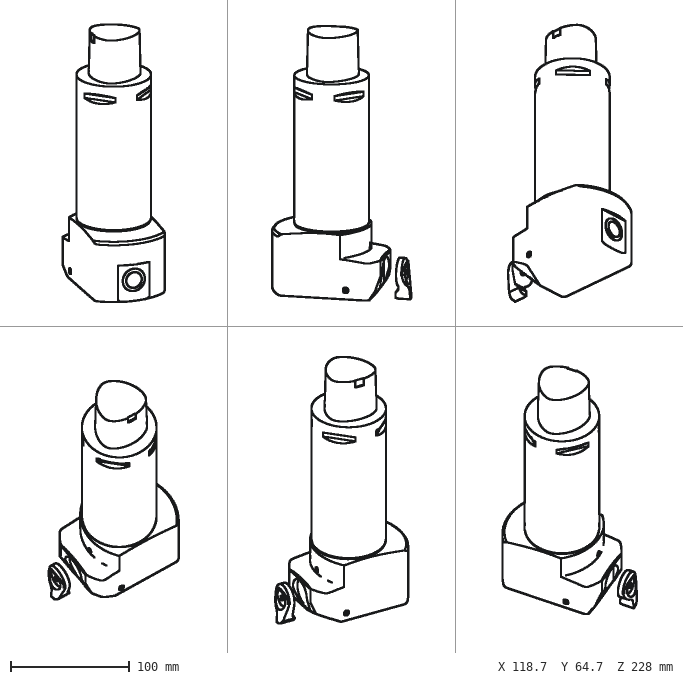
import cadquery as cq
import math

SHANK_RADIUS = 31.5
SHANK_BOTTOM = 58.5
SHOULDER_Z = 186.3
TOP_Z = 224.1
OVERALL_LENGTH = 228.0
NECK_RADIUS = 30.8
NECK_CHAMFER_HEIGHT = 1.5

TAPER_RADIUS = 22.0
TAPER_LOBE = 1.5
TAPER_SLOPE = 1 / 45
LOBE_HALF_ANGLE = 37
LOBE_COUNT = 3
LOBE_PITCH = 360 / LOBE_COUNT
SPLINE_STEPS = 8

KEY_SLOT_WIDTH = 8.0
KEY_SLOT_HEIGHT = 6.4
KEY_SLOT_DEPTH = 1.0

GRIP_Z = 174.2
GRIP_FLOOR_DISTANCE = 28.0
GRIP_FLOOR_HEIGHT = 3.9
GRIP_MOUTH_HEIGHT = 8.0
GRIP_COUNT = 4

HEAD_RADIUS = 50.2
HEAD_HALF_WIDTH = 32.1
HEAD_CORNER_RADIUS = 6.0
HEAD_BOTTOM_RADIUS = 3.0
HEAD_CONE_SLOPE = math.tan(math.radians(10))
HEAD_TOP_Z = 57.0
HEAD_RIM_WIDTH = 1.8
HEAD_RIM_HEIGHT = 2.5
LEDGE_Z = 36.0

COLLAR_RADIUS = 44.2
COLLAR_X = 11.6
COLLAR_Y = -3.2
COLLAR_FOOT_RADIUS = 0.7

FRONT_FLAT_X = -46.7
FRONT_FLAT_BOTTOM_Z = 19.4
FRONT_CHAMFER = 1.0
FRONT_BREAK_X = -43.3
FRONT_BREAK_Z = 7.0
FRONT_FOOT_X = -39.0
CORNER_CUT_POINT = (-23.3, -HEAD_HALF_WIDTH, 0.5)
CORNER_CUT_NORMAL = (-0.49, -0.24, -0.84)

BACK_FLAT_X = 48.0
BACK_FLAT_TOP_Z = 33.3
BACK_BOSS_DIAMETERS = (19.8, 14.0)
BACK_BOSS_STEP = 0.5

INSERT_AXIS_Z = 19.2
INSERT_RADIUS = 24.0 / 2
INSERT_BACK_X = -58.4
INSERT_TIP_X = -68.5
INSERT_TIP_Z = TOP_Z - OVERALL_LENGTH
INSERT_FACE_TILT = 5
INSERT_FACE_RADIUS = 26.2
INSERT_RIM_X = -63.0
INSERT_RIM_TOP_X = -66.3
INSERT_RIM_TOP_RADIUS = 8.5
FOOT_X = -55.5
FOOT_START_Z = 5.2
FOOT_END_Z = 1.0
FOOT_BOTTOM_Z = -3.2
DISH_FLOOR_X = -64.3
DISH_DIAMETER = 14.0
INSERT_HOLE_DIAMETER = 4.0

FLANK_TOP = (-11.6, 16.5)
FLANK_MIDDLE = (-9.3, 7.5)
FLANK_BOTTOM = (-7.3, 1.0)
CORNER_BOTTOM = (-4.5, -2.3)
CORNER_ROUND = (-3.5, -3.0)
TIP_EDGE_START = (-1.8, -3.2)
BLADE_LEFT_Y = 1.8
THROAT_BOTTOM_Z = 3.5
THROAT_MIDDLE = (3.2, 6.5)
THROAT_TOP = (6.4, 9.1)
THROAT_END = (9.1, 11.5)

POCKET_FLOOR_X = -42.5
POCKET_CLEARANCE = 0.2

NOZZLE_DIAMETER = 4.0
NOZZLE_BORE = 2.7
NOZZLE_LENGTH = 6.8
NOZZLE_Y = -3.6
NOZZLE_Z = 40.0

PIN_X = -19.5
PIN_Z = 8.7
PIN_DIAMETER = 4.8
PIN_TIP_DIAMETER = 2.7
PIN_TIP_END_DIAMETER = 1.5
PIN_TIP_LENGTH = 0.5
PIN_DISH_DEPTH = 1.0
PIN_SOCKET_DEPTH = 2.7

FAR = 136.8
OVERSHOOT = 2.3


def rod_x(diameter, x0, x1, y, z):
    return cq.Workplane("YZ", origin=(x0, y, z)).circle(diameter / 2).extrude(x1 - x0)


def block(x0, x1, y0, y1, z0, z1):
    return cq.Workplane("XY").box(x1 - x0, y1 - y0, z1 - z0, centered=False).translate((x0, y0, z0))


def turned(points):
    """Solid of revolution about Z from (radius, z) points."""
    return cq.Workplane("XZ").polyline(points).close().revolve(360, (0, 0), (0, 1))


def lobed_wire(radius, z):
    """Three-lobed constant-width outline, split where the lobe and side faces meet."""
    def point(angle):
        t = math.radians(angle)
        height = radius + TAPER_LOBE * math.cos(LOBE_COUNT * t)
        slide = LOBE_COUNT * TAPER_LOBE * math.sin(LOBE_COUNT * t)
        along = height * math.cos(t) + slide * math.sin(t)
        across = height * math.sin(t) - slide * math.cos(t)
        return cq.Vector(-across, along, z)

    def tangent(angle):
        t = math.radians(angle)
        return cq.Vector(-math.cos(t), -math.sin(t), 0)

    edges = []
    for lobe in range(LOBE_COUNT):
        start = lobe * LOBE_PITCH - LOBE_HALF_ANGLE
        middle = lobe * LOBE_PITCH + LOBE_HALF_ANGLE
        for a, b in ((start, middle), (middle, start + LOBE_PITCH)):
            angles = [a + (b - a) * i / SPLINE_STEPS for i in range(SPLINE_STEPS + 1)]
            edges.append(cq.Edge.makeSpline([point(i) for i in angles], [tangent(a), tangent(b)]))
    return cq.Wire.assembleEdges(edges)


def make_taper():
    top_radius = TAPER_RADIUS - (TOP_Z - SHOULDER_Z) * TAPER_SLOPE
    wires = [lobed_wire(TAPER_RADIUS, SHOULDER_Z), lobed_wire(top_radius, TOP_Z)]
    taper = cq.Workplane(cq.Solid.makeLoft(wires, True))
    slot_floor_y = -(top_radius - TAPER_LOBE) + KEY_SLOT_DEPTH
    half = KEY_SLOT_WIDTH / 2
    return taper.cut(block(-half, half, -FAR, slot_floor_y, TOP_Z - KEY_SLOT_HEIGHT, TOP_Z + OVERSHOOT))


def make_shank():
    """Round shank with a bevelled foot that reaches into the head."""
    return turned([
        (0, LEDGE_Z), (NECK_RADIUS, LEDGE_Z), (NECK_RADIUS, SHANK_BOTTOM - NECK_CHAMFER_HEIGHT),
        (SHANK_RADIUS, SHANK_BOTTOM), (SHANK_RADIUS, SHOULDER_Z), (0, SHOULDER_Z),
    ])


def cut_grip_grooves(body):
    """Trapezoidal gripper grooves, evenly spaced between the X and Y axes."""
    flare = (GRIP_MOUTH_HEIGHT - GRIP_FLOOR_HEIGHT) / 2 / (SHANK_RADIUS - GRIP_FLOOR_DISTANCE)
    outer = SHANK_RADIUS + OVERSHOOT
    floor_half = GRIP_FLOOR_HEIGHT / 2
    outer_half = floor_half + flare * (outer - GRIP_FLOOR_DISTANCE)
    groove = (
        cq.Workplane("XZ", origin=(0, 0, GRIP_Z))
        .polyline([
            (GRIP_FLOOR_DISTANCE, -floor_half), (outer, -outer_half),
            (outer, outer_half), (GRIP_FLOOR_DISTANCE, floor_half),
        ])
        .close()
        .extrude(SHANK_RADIUS, both=True)
    )
    pitch = 360 / GRIP_COUNT
    for i in range(GRIP_COUNT):
        body = body.cut(groove.rotate((0, 0, 0), (0, 0, 1), pitch * (i + 0.5)))
    return body


def cone_z(z_at_shank, radius):
    """Height of a head cone about the shank axis at the given radius."""
    return z_at_shank - HEAD_CONE_SLOPE * (radius - SHANK_RADIUS)


def make_head_block():
    """Round head with flat sides, rounded corners, coned top and bevelled rim."""
    disc = cq.Workplane("XY").circle(HEAD_RADIUS).extrude(SHANK_BOTTOM)
    sides = block(-FAR, FAR, -HEAD_HALF_WIDTH, HEAD_HALF_WIDTH, 0, SHANK_BOTTOM)
    head = disc.intersect(sides).edges("|Z and (>Y or <Y)").fillet(HEAD_CORNER_RADIUS)
    head = head.faces("<Z").edges().fillet(HEAD_BOTTOM_RADIUS)
    rim_radius = HEAD_RADIUS - HEAD_RIM_WIDTH
    rim_z = cone_z(HEAD_TOP_Z, rim_radius)
    beyond_rim = HEAD_RADIUS + HEAD_RIM_WIDTH
    return head.intersect(turned([
        (0, 0), (beyond_rim, 0), (beyond_rim, rim_z - 2 * HEAD_RIM_HEIGHT), (rim_radius, rim_z),
        (0, cone_z(HEAD_TOP_Z, 0)),
    ]))


def collar_cylinder():
    return cq.Workplane("XY").center(COLLAR_X, COLLAR_Y).circle(COLLAR_RADIUS).extrude(FAR)


def cut_ledge(head):
    """Remove the front part above the lower cone, leaving the round collar."""
    edge = HEAD_RADIUS + OVERSHOOT
    above = turned([(0, cone_z(LEDGE_Z, 0)), (edge, cone_z(LEDGE_Z, edge)), (edge, FAR), (0, FAR)])
    above = above.intersect(block(-FAR, 0, -FAR, FAR, 0, FAR))
    head = head.cut(above.cut(collar_cylinder()))
    foot_z = cone_z(LEDGE_Z, COLLAR_RADIUS - COLLAR_X)
    foot_edge = cq.selectors.NearestToPointSelector((COLLAR_X - COLLAR_RADIUS, COLLAR_Y, foot_z))
    return head.edges(foot_edge).fillet(COLLAR_FOOT_RADIUS)


def cut_front(head):
    """Front flat chamfered to the ledge, two sloping facets below it and the oblique corner cut."""
    chamfer_z = cone_z(LEDGE_Z, -FRONT_FLAT_X) - FRONT_CHAMFER
    chamfer_run = 2 * FRONT_CHAMFER
    facets = (
        cq.Workplane("XZ")
        .polyline([
            (-FAR, FAR), (FRONT_FLAT_X + chamfer_run, FAR),
            (FRONT_FLAT_X + chamfer_run, chamfer_z + chamfer_run), (FRONT_FLAT_X, chamfer_z),
            (FRONT_FLAT_X, FRONT_FLAT_BOTTOM_Z), (FRONT_BREAK_X, FRONT_BREAK_Z),
            (FRONT_FOOT_X, 0), (-FAR, 0),
        ])
        .close()
        .extrude(FAR, both=True)
    )
    corner = (
        cq.Workplane(cq.Plane(origin=CORNER_CUT_POINT, normal=CORNER_CUT_NORMAL))
        .rect(FAR, FAR)
        .extrude(FAR)
    )
    return head.cut(facets).cut(corner)


def finish_back(head):
    """Flat on the lower back with a low stepped boss in line with the insert."""
    head = head.cut(block(BACK_FLAT_X, FAR, -FAR, FAR, 0, BACK_FLAT_TOP_Z))
    for step, diameter in enumerate(BACK_BOSS_DIAMETERS, start=1):
        end_x = BACK_FLAT_X + step * BACK_BOSS_STEP
        head = head.union(rod_x(diameter, BACK_FLAT_X - OVERSHOOT, end_x, 0, INSERT_AXIS_Z))
    return head


def cut_insert_pocket(head):
    """Keyhole pocket for the insert, open through the front and the foot facet."""
    radius = INSERT_RADIUS + POCKET_CLEARANCE
    pocket = rod_x(2 * radius, -FAR, POCKET_FLOOR_X, 0, INSERT_AXIS_Z)
    channel = block(-FAR, POCKET_FLOOR_X, -radius, BLADE_LEFT_Y + POCKET_CLEARANCE, -FAR, INSERT_AXIS_Z)
    return head.cut(pocket).cut(channel)


def turned_x(points):
    """Solid of revolution about the insert axis from (x, radius) points."""
    turning = cq.Workplane("XY").polyline(points).close().revolve(360, (0, 0), (1, 0))
    return turning.translate((0, 0, INSERT_AXIS_Z))


def insert_blank():
    """Round head and narrow blade, longer along X than the finished insert."""
    start_x = INSERT_TIP_X - OVERSHOOT
    end_x = FOOT_X + OVERSHOOT
    disc = rod_x(2 * INSERT_RADIUS, start_x, end_x, 0, INSERT_AXIS_Z)
    blade = (
        cq.Workplane("YZ", origin=(start_x, 0, 0))
        .moveTo(*FLANK_TOP)
        .threePointArc(FLANK_MIDDLE, FLANK_BOTTOM)
        .lineTo(*CORNER_BOTTOM)
        .threePointArc(CORNER_ROUND, TIP_EDGE_START)
        .lineTo(BLADE_LEFT_Y, INSERT_TIP_Z)
        .lineTo(BLADE_LEFT_Y, THROAT_BOTTOM_Z)
        .threePointArc(THROAT_MIDDLE, THROAT_TOP)
        .lineTo(*THROAT_END)
        .lineTo(0, INSERT_AXIS_Z)
        .close()
        .extrude(end_x - start_x)
    )
    return disc.union(blade)


def insert_side_profile():
    """Everything in front of the back face, stepped out at the blade foot."""
    return (
        cq.Workplane("XZ")
        .polyline([
            (-FAR, FAR), (INSERT_BACK_X, FAR), (INSERT_BACK_X, FOOT_START_Z), (FOOT_X, FOOT_END_Z),
            (FOOT_X, FOOT_BOTTOM_Z), (INSERT_BACK_X, INSERT_TIP_Z), (-FAR, INSERT_TIP_Z),
        ])
        .close()
        .extrude(FAR, both=True)
    )


def insert_crown():
    """Large leaning cylinder whose front becomes the crowned face."""
    return (
        cq.Workplane("XY", origin=(INSERT_TIP_X + INSERT_FACE_RADIUS, 0, INSERT_TIP_Z))
        .circle(INSERT_FACE_RADIUS)
        .extrude(FAR, both=True)
        .rotate((INSERT_TIP_X, 0, INSERT_TIP_Z), (INSERT_TIP_X, 1, INSERT_TIP_Z), INSERT_FACE_TILT)
    )


def insert_rim_bevel():
    """Waste outside the conical bevel around the upper half of the face."""
    slope = (INSERT_RIM_X - INSERT_RIM_TOP_X) / (INSERT_RADIUS - INSERT_RIM_TOP_RADIUS)
    apex_x = INSERT_RIM_TOP_X - slope * INSERT_RIM_TOP_RADIUS
    reach = 2 * INSERT_RADIUS
    outside_cone = turned_x([
        (apex_x, 0), (apex_x + slope * reach, reach), (apex_x - reach, reach), (apex_x - reach, 0),
    ])
    return outside_cone.intersect(block(-FAR, FAR, -FAR, FAR, INSERT_AXIS_Z, FAR))


def insert_dish():
    """Flat-bottomed dish with a 45 degree wall."""
    dish_end = INSERT_TIP_X - OVERSHOOT
    dish_radius = DISH_DIAMETER / 2
    return turned_x([
        (DISH_FLOOR_X, 0), (DISH_FLOOR_X, dish_radius),
        (dish_end, dish_radius + DISH_FLOOR_X - dish_end), (dish_end, 0),
    ])


def make_insert():
    """Round-headed insert with a narrow blade hanging from it and a central hole."""
    insert = insert_blank().intersect(insert_side_profile()).intersect(insert_crown())
    insert = insert.cut(insert_rim_bevel()).cut(insert_dish())
    return insert.cut(rod_x(INSERT_HOLE_DIAMETER, -FAR, INSERT_BACK_X + OVERSHOOT, 0, INSERT_AXIS_Z))


def nozzle_envelope():
    """Plug set square to the collar, its outer end following the collar surface."""
    face_x = COLLAR_X - COLLAR_RADIUS
    plug = rod_x(NOZZLE_DIAMETER, face_x - OVERSHOOT, face_x + NOZZLE_LENGTH, NOZZLE_Y, NOZZLE_Z)
    return plug.intersect(collar_cylinder())


def make_nozzle():
    return nozzle_envelope().cut(rod_x(NOZZLE_BORE, -FAR, 0, NOZZLE_Y, NOZZLE_Z))


def pin_shaft(diameter, y0, y1):
    return cq.Workplane("XZ", origin=(PIN_X, y0, PIN_Z)).circle(diameter / 2).extrude(y0 - y1)


def make_pin():
    """Cross pin with a dished socket at the -Y end and a small conical tip beyond the +Y side."""
    near_y = -HEAD_HALF_WIDTH
    pin = pin_shaft(PIN_DIAMETER, near_y, HEAD_HALF_WIDTH)
    tip = cq.Solid.makeCone(
        PIN_TIP_DIAMETER / 2, PIN_TIP_END_DIAMETER / 2, PIN_TIP_LENGTH,
        cq.Vector(PIN_X, HEAD_HALF_WIDTH, PIN_Z), cq.Vector(0, 1, 0),
    )
    pin = pin.union(cq.Workplane(tip))
    dish = cq.Solid.makeCone(
        PIN_DIAMETER / 2, PIN_TIP_DIAMETER / 2, PIN_DISH_DEPTH,
        cq.Vector(PIN_X, near_y, PIN_Z), cq.Vector(0, 1, 0),
    )
    socket = pin_shaft(PIN_TIP_DIAMETER, near_y, near_y + PIN_SOCKET_DEPTH)
    return pin.cut(cq.Workplane(dish)).cut(socket)


def make_holder():
    head = cut_ledge(make_head_block())
    head = cut_insert_pocket(finish_back(cut_front(head)))
    holder = head.union(cut_grip_grooves(make_shank())).union(make_taper())
    holder = holder.cut(nozzle_envelope())
    return holder.cut(pin_shaft(PIN_DIAMETER, -HEAD_HALF_WIDTH, HEAD_HALF_WIDTH))


holder = make_holder()
insert = make_insert()
nozzle = make_nozzle()
pin = make_pin()

result = cq.Compound.makeCompound([holder.val(), insert.val(), nozzle.val(), pin.val()])